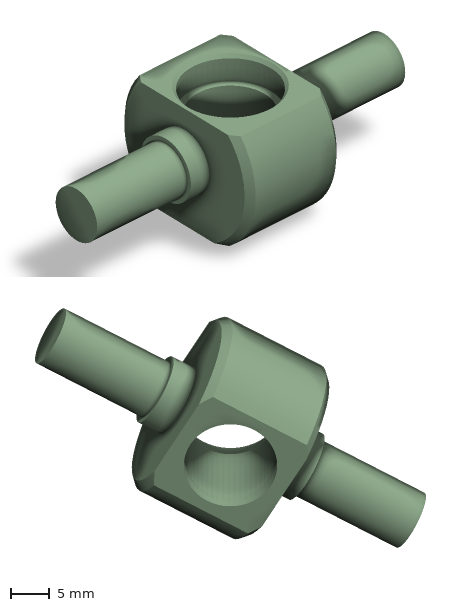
import cadquery as cq

pin_length = 53.5
pin_diameter = 7.9
collar_length = 22.4
collar_diameter = 9.5

body_diameter = 25.0
body_width = 16.0
body_chamfer = 1.0
top_flat_height = 7.95
bottom_flat_depth = 10.0

bore_diameter = 12.0
counterbore_diameter = 14.0
counterbore_depth = 4.0
bore_mouth_diameter = 15.0


def cylinder_along_y(diameter, length):
    """Cylinder on the Y axis, centred on the origin."""
    return cq.Workplane("XZ").circle(diameter / 2).extrude(length / 2, both=True)


def make_body():
    """Chamfered drum with a flat on its top and on its bottom."""
    drum = cylinder_along_y(body_diameter, body_width).edges().chamfer(body_chamfer)
    flats = cq.Workplane("XY", origin=(0, 0, -bottom_flat_depth)).box(
        body_diameter,
        body_width,
        bottom_flat_depth + top_flat_height,
        centered=(True, True, False),
    )
    return drum.intersect(flats)


def make_bore():
    """Stepped vertical bore with a 45 degree chamfer at its top mouth."""
    bore_radius = bore_diameter / 2
    counterbore_radius = counterbore_diameter / 2
    mouth_radius = bore_mouth_diameter / 2
    mouth_chamfer = mouth_radius - counterbore_radius
    step_z = top_flat_height - counterbore_depth
    half_profile = (
        cq.Workplane("XZ")
        .moveTo(0, -bottom_flat_depth)
        .lineTo(bore_radius, -bottom_flat_depth)
        .lineTo(bore_radius, step_z)
        .lineTo(counterbore_radius, step_z)
        .lineTo(counterbore_radius, top_flat_height - mouth_chamfer)
        .lineTo(mouth_radius, top_flat_height)
        .lineTo(0, top_flat_height)
        .close()
    )
    return half_profile.revolve(360, (0, 0, 0), (0, 1, 0))


collar = cylinder_along_y(collar_diameter, collar_length)
pin = cylinder_along_y(pin_diameter, pin_length)

result = make_body().union(collar).union(pin).cut(make_bore())